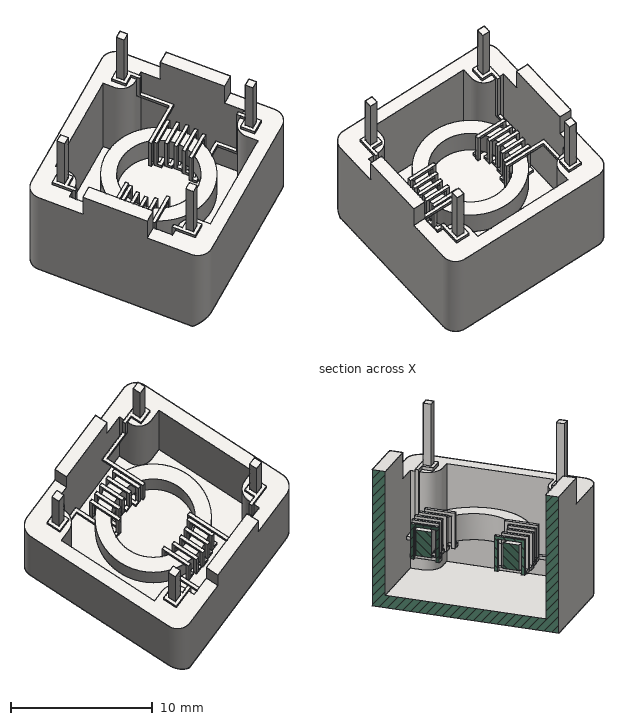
import cadquery as cq

HOUSING_SIDE = 14.0
HOUSING_HEIGHT = 8.5
WALL = 1.0
FLOOR = 1.0
OUTER_RADIUS = 1.08
BLOCK_SIDE = 2.0
BLOCK_RADIUS = 1.12
EDGE_CHAMFER = 1.0
TAB_WIDTH = 5.0
TAB_HEIGHT = 2.0

CORE_X = 0.22
CORE_Y = -0.14
CORE_BOTTOM = 4.35
CORE_HEIGHT = 2.0
CORE_OUTER_RADIUS = 4.1
CORE_INNER_RADIUS = 2.97

WIRE = 0.25
PIN_SIDE = 0.6
PIN_OFFSET = 5.0
PIN_TOP = 13.5
LOOP_SIDE = PIN_SIDE + 2 * WIRE

PITCH = 0.35
FIRST_BAR_X = -1.36
TURNS = 5
WINDING_TOP = 6.79
WINDING_BOTTOM = 4.06

BACK_INNER_FACES = [1.79, 1.97, 2.23, 2.3, 2.17, 1.8]
FRONT_INNER_FACES = [-2.05, -2.17, -2.48, -2.6, -2.41, -1.92]
BACK_END_FACE = 1.79
FRONT_END_FACE = -1.96
BACK_OUTER_FACES = [4.15, 4.25, 4.33, 4.25, 4.09]
FRONT_OUTER_FACES = [-4.42, -4.48, -4.55, -4.48, -4.42]

TOP_Z = WINDING_TOP - WIRE / 2
BOTTOM_Z = WINDING_BOTTOM + WIRE / 2
RIM_Z = HOUSING_HEIGHT + WIRE / 2
POCKET_HALF = HOUSING_SIDE / 2 - WALL
DROP_X = POCKET_HALF - BLOCK_SIDE - WIRE / 2
LEAD_Y = PIN_OFFSET + LOOP_SIDE / 2 - WIRE / 2


def make_pin(x, y):
    pin = cq.Workplane("XY", origin=(x, y, HOUSING_HEIGHT)).rect(PIN_SIDE, PIN_SIDE)
    return pin.extrude(PIN_TOP - HOUSING_HEIGHT)


def make_housing():
    body = cq.Workplane("XY").box(HOUSING_SIDE, HOUSING_SIDE, HOUSING_HEIGHT, centered=(True, True, False))
    body = body.edges("|Z").fillet(OUTER_RADIUS)

    half = HOUSING_SIDE / 2
    wedge = (
        cq.Workplane("XZ", origin=(0, half, 0))
        .polyline([(half - EDGE_CHAMFER, 0), (half, 0), (half, EDGE_CHAMFER)])
        .close()
        .extrude(HOUSING_SIDE)
    )
    body = body.cut(wedge)

    pocket_side = 2 * POCKET_HALF
    block_place = POCKET_HALF - BLOCK_SIDE / 2
    pocket_depth = HOUSING_HEIGHT - FLOOR
    blocks = (
        cq.Workplane("XY", origin=(0, 0, FLOOR))
        .rect(2 * block_place, 2 * block_place, forConstruction=True)
        .vertices()
        .rect(BLOCK_SIDE, BLOCK_SIDE)
        .extrude(pocket_depth)
    )
    pocket = cq.Workplane("XY", origin=(0, 0, FLOOR)).rect(pocket_side, pocket_side).extrude(pocket_depth)
    block_corners = cq.selectors.BoxSelector(
        (-block_place, -block_place, 0), (block_place, block_place, HOUSING_HEIGHT)
    )
    pocket = pocket.cut(blocks).edges("|Z").edges(block_corners).fillet(BLOCK_RADIUS)
    body = body.cut(pocket)

    for side in (-1, 1):
        tab = cq.Workplane("XY", origin=(0, side * (POCKET_HALF + WALL / 2), HOUSING_HEIGHT))
        body = body.union(tab.rect(TAB_WIDTH, WALL).extrude(TAB_HEIGHT))

    for x in (-PIN_OFFSET, PIN_OFFSET):
        for y in (-PIN_OFFSET, PIN_OFFSET):
            body = body.union(make_pin(x, y))
    return body


def make_core():
    base = cq.Workplane("XY", origin=(CORE_X, CORE_Y, CORE_BOTTOM))
    return base.circle(CORE_OUTER_RADIUS).circle(CORE_INNER_RADIUS).extrude(CORE_HEIGHT)


def make_pin_loop(x, y):
    """One turn of wire lying on the housing around the foot of a pin."""
    base = cq.Workplane("XY", origin=(x, y, HOUSING_HEIGHT))
    return base.rect(LOOP_SIDE, LOOP_SIDE).rect(PIN_SIDE, PIN_SIDE).extrude(WIRE)


def add_wire(body, path):
    """Add square wire along an axis-aligned path, with a full square at every bend and end."""
    for start, end in zip(path, path[1:]):
        sizes = [abs(b - a) + WIRE for a, b in zip(start, end)]
        middle = tuple((a + b) / 2 for a, b in zip(start, end))
        body = body.union(cq.Workplane("XY").box(*sizes).translate(middle))
    return body


def bar_x(step):
    return FIRST_BAR_X + step * PITCH


def make_winding(side, inner_faces, outer_faces):
    """Loop around the start pin, lead over the core, and all the turns to the foot of the last one."""
    inner = [face + side * WIRE / 2 for face in inner_faces]
    outer = [face - side * WIRE / 2 for face in outer_faces]
    lead_y = side * LEAD_Y
    path = [
        (-PIN_OFFSET, lead_y, RIM_Z),
        (-DROP_X, lead_y, RIM_Z),
        (-DROP_X, lead_y, TOP_Z),
        (bar_x(0), lead_y, TOP_Z),
        (bar_x(0), inner[0], TOP_Z),
        (bar_x(0), inner[0], BOTTOM_Z),
    ]
    for turn in range(TURNS):
        bottom_x = bar_x(2 * turn)
        top_x = bar_x(2 * turn + 1)
        path += [
            (bottom_x, inner[turn], BOTTOM_Z),
            (bottom_x, outer[turn], BOTTOM_Z),
            (top_x, outer[turn], BOTTOM_Z),
            (top_x, outer[turn], TOP_Z),
            (top_x, inner[turn + 1], TOP_Z),
            (top_x, inner[turn + 1], BOTTOM_Z),
        ]
        if turn < TURNS - 1:
            path.append((bar_x(2 * turn + 2), inner[turn + 1], BOTTOM_Z))
    return add_wire(make_pin_loop(-PIN_OFFSET, side * PIN_OFFSET), path)


def make_end_lead(side, end_face):
    """Loop around the end pin and its lead under the core, meeting the foot of the last turn."""
    lead_y = side * LEAD_Y
    foot_y = end_face + side * WIRE / 2
    path = [
        (PIN_OFFSET, lead_y, RIM_Z),
        (DROP_X, lead_y, RIM_Z),
        (DROP_X, lead_y, BOTTOM_Z),
        (bar_x(2 * TURNS), lead_y, BOTTOM_Z),
        (bar_x(2 * TURNS), foot_y, BOTTOM_Z),
        (bar_x(2 * TURNS - 1) + WIRE, foot_y, BOTTOM_Z),
    ]
    return add_wire(make_pin_loop(PIN_OFFSET, side * PIN_OFFSET), path)


housing = make_housing()
core = make_core()
windings = []
end_leads = []
for side, inner_faces, outer_faces, end_face in (
    (1, BACK_INNER_FACES, BACK_OUTER_FACES, BACK_END_FACE),
    (-1, FRONT_INNER_FACES, FRONT_OUTER_FACES, FRONT_END_FACE),
):
    windings.append(make_winding(side, inner_faces, outer_faces).val())
    end_leads.append(make_end_lead(side, end_face).val())

result = cq.Compound.makeCompound([housing.val(), core.val(), *windings, *end_leads])